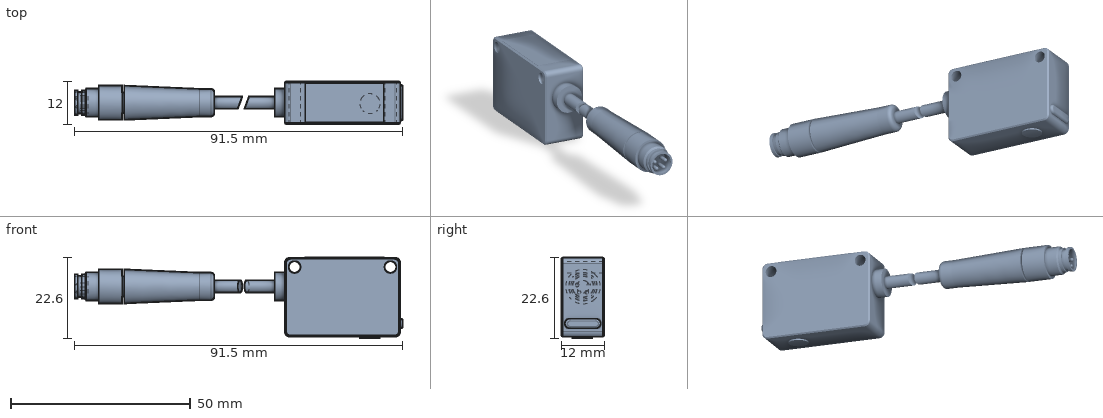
import cadquery as cq
import math


OVERALL_LENGTH = 91.5

CABLE_DIA = 3.5
CUT_ANGLE = 20
PLUG_CABLE_END = 46.1
SENSOR_CABLE_START = 47.95
CUT_SHIFT = CABLE_DIA / 2 * math.tan(math.radians(CUT_ANGLE))

TIP_DIA = 6.9
TIP_GROOVE_DIA = 6.0
COLLAR_DIA = 8.0
NUT_DIA = 9.6
NECK_DIA = 5.8
BOOT_END_DIA = 7.8
TIP_GROOVE_START = 0.9
TIP_GROOVE_END = 2.0
TIP_END = 2.9
COLLAR_CONE_END = 3.3
COLLAR_END = 6.7
NUT_END = 13.3
BOOT_START = 13.8
BOOT_TAPER_END = 34.8
BOOT_END = 39.0
BOOT_END_FILLET = 1.1

SOCKET_DIA = 5.8
SOCKET_DEPTH = 3.7
PIN_DIA = 1.0
PIN_TIP_X = 0.4
UPPER_PIN_Y = 1.65
UPPER_PIN_Z = 0.5
LOWER_PIN_Y = 1.1
LOWER_PIN_Z = -1.6

HOUSING_START = 58.6
HOUSING_LENGTH = 32.2
HOUSING_WIDTH = 12.0
HOUSING_HEIGHT = 22.05
HOUSING_DROP = 3.0
HOUSING_CORNER_RADIUS = 1.6
HOUSING_CHAMFER = 0.4
HOUSING_END = HOUSING_START + HOUSING_LENGTH
HOUSING_TOP = HOUSING_HEIGHT / 2 - HOUSING_DROP
HOUSING_BOTTOM = HOUSING_TOP - HOUSING_HEIGHT

GLAND_DIA = 8.0
GLAND_START = 55.7

HOLE_DIA = 3.2
FIRST_HOLE_X = 61.3
HOLE_SPACING = 26.7
HOLE_Z = 5.4

PANEL_START = 64.2
PANEL_LENGTH = 21.9
PANEL_WIDTH = 11.0
PANEL_HEIGHT = 0.1

LENS_LENGTH = 10.0
LENS_HEIGHT = 2.7
LENS_Z = -10.3
LENS_FILLET = 0.6
LENS_DEPTH = OVERALL_LENGTH - HOUSING_END

BUTTON_DIA = 5.6
BUTTON_X = 82.3
BUTTON_Y = -0.2
BUTTON_HEIGHT = 0.4


def rod(diameter, start, end, y=0, z=0):
    """Cylinder along X from start to end."""
    return cq.Workplane("YZ", origin=(start, y, z)).circle(diameter / 2).extrude(end - start)


def slant_cut_cable(square_end, slant_end):
    """Cable from a square end to a slanted end, which lies farther along X on the +Y side."""
    radius = CABLE_DIA / 2
    outline = [
        (square_end, -radius),
        (slant_end - CUT_SHIFT, -radius),
        (slant_end + CUT_SHIFT, radius),
        (square_end, radius),
    ]
    slab = cq.Workplane("XY").polyline(outline).close().extrude(radius, both=True)
    ends = (square_end, slant_end - CUT_SHIFT, slant_end + CUT_SHIFT)
    return rod(CABLE_DIA, min(ends), max(ends)).intersect(slab)


def plug_shell():
    """Turned outside of the plug: grooved tip, collar, nut, neck and tapered boot."""
    profile = [
        (0, 0),
        (0, TIP_DIA / 2),
        (TIP_GROOVE_START, TIP_DIA / 2),
        (TIP_GROOVE_START, TIP_GROOVE_DIA / 2),
        (TIP_GROOVE_END, TIP_GROOVE_DIA / 2),
        (TIP_GROOVE_END, TIP_DIA / 2),
        (TIP_END, TIP_DIA / 2),
        (COLLAR_CONE_END, COLLAR_DIA / 2),
        (COLLAR_END, COLLAR_DIA / 2),
        (COLLAR_END, NUT_DIA / 2),
        (NUT_END, NUT_DIA / 2),
        (NUT_END, NECK_DIA / 2),
        (BOOT_START, NECK_DIA / 2),
        (BOOT_START, NUT_DIA / 2),
        (BOOT_TAPER_END, BOOT_END_DIA / 2),
        (BOOT_END, BOOT_END_DIA / 2),
        (BOOT_END, 0),
    ]
    shell = cq.Workplane("XY").polyline(profile).close().revolve(360, (0, 0, 0), (1, 0, 0))
    return shell.faces(">X").edges().fillet(BOOT_END_FILLET)


def contact_pin(y, z):
    """Round-nosed pin standing on the socket floor."""
    nose_radius = PIN_DIA / 2
    nose_centre_x = PIN_TIP_X + nose_radius
    nose = cq.Workplane("XY", origin=(nose_centre_x, y, z)).sphere(nose_radius)
    return rod(PIN_DIA, nose_centre_x, SOCKET_DEPTH, y, z).union(nose)


def make_plug():
    plug = plug_shell().cut(rod(SOCKET_DIA, 0, SOCKET_DEPTH))
    for side in (-1, 1):
        plug = plug.union(contact_pin(side * UPPER_PIN_Y, UPPER_PIN_Z))
        plug = plug.union(contact_pin(side * LOWER_PIN_Y, LOWER_PIN_Z))
    return plug.union(slant_cut_cable(BOOT_END, PLUG_CABLE_END))


def housing_block():
    """Rounded box with chamfered rims on its two large faces and two mounting holes."""
    block = (
        cq.Workplane("XY")
        .box(HOUSING_LENGTH, HOUSING_WIDTH, HOUSING_HEIGHT, centered=(False, True, False))
        .translate((HOUSING_START, 0, HOUSING_BOTTOM))
        .edges("|Y").fillet(HOUSING_CORNER_RADIUS)
        .faces("<Y or >Y").edges().chamfer(HOUSING_CHAMFER)
    )
    holes = (
        cq.Workplane("XZ")
        .pushPoints([(FIRST_HOLE_X, HOLE_Z), (FIRST_HOLE_X + HOLE_SPACING, HOLE_Z)])
        .circle(HOLE_DIA / 2)
        .extrude(HOUSING_WIDTH, both=True)
    )
    return block.cut(holes)


def top_panel():
    """Thin raised plate on the top face."""
    return (
        cq.Workplane("XY")
        .box(PANEL_LENGTH, PANEL_WIDTH, PANEL_HEIGHT, centered=(False, True, False))
        .translate((PANEL_START, 0, HOUSING_TOP))
    )


def end_lens():
    """Rounded lens on the +X face."""
    return (
        cq.Workplane("YZ", origin=(HOUSING_END, 0, LENS_Z))
        .slot2D(LENS_LENGTH, LENS_HEIGHT)
        .extrude(LENS_DEPTH)
        .faces(">X").edges().fillet(LENS_FILLET)
    )


def bottom_button():
    """Flat round button under the bottom face."""
    return (
        cq.Workplane("XY", origin=(BUTTON_X, BUTTON_Y, HOUSING_BOTTOM))
        .circle(BUTTON_DIA / 2)
        .extrude(-BUTTON_HEIGHT)
    )


def make_sensor():
    sensor = housing_block()
    for detail in (top_panel(), end_lens(), bottom_button()):
        sensor = sensor.union(detail)
    sensor = sensor.union(rod(GLAND_DIA, GLAND_START, HOUSING_START))
    return sensor.union(slant_cut_cable(GLAND_START, SENSOR_CABLE_START))


plug = make_plug()
sensor = make_sensor()

result = cq.Compound.makeCompound([plug.val(), sensor.val()])